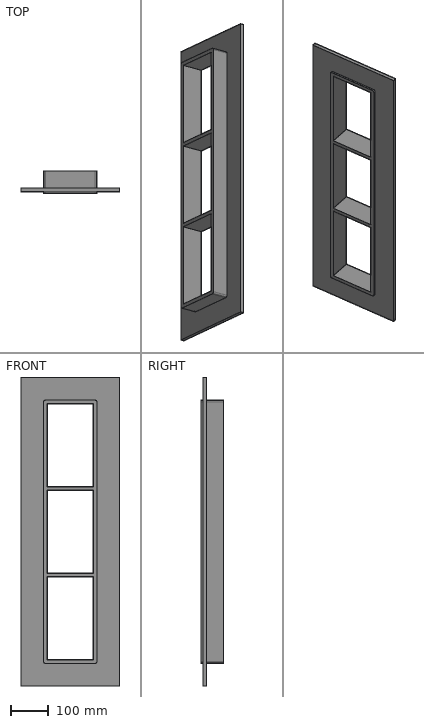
import cadquery as cq

plate_width = 260.5
plate_height = 814.0
plate_thickness = 10.0
plate_border = 60.0

frame_width = plate_width - 2 * plate_border
frame_height = plate_height - 2 * plate_border
frame_depth = 60.0
frame_front_lip = 5.0
frame_corner_radius = 5.0
wall_thickness = 10.0

opening_count = 3
opening_width = frame_width - 2 * wall_thickness
opening_height = (frame_height - (opening_count + 1) * wall_thickness) / opening_count
opening_pitch = opening_height + wall_thickness


def block(width, depth, height, front_y):
    """Box centred on X and Z, reaching from front_y towards +Y."""
    return cq.Workplane("XY").box(width, depth, height).translate((0, front_y + depth / 2, 0))


def make_plate():
    """Flat plate whose front face lies on Y = 0."""
    return block(plate_width, plate_thickness, plate_height, 0)


def make_frame():
    """Frame body with rounded outer corners, standing proud of the plate front."""
    body = block(frame_width, frame_depth, frame_height, -frame_front_lip)
    return body.edges("|Y").fillet(frame_corner_radius)


def make_openings():
    """Cutters for the openings, running through the whole frame depth."""
    cutter = block(opening_width, frame_depth, opening_height, -frame_front_lip)
    cutters = cq.Workplane("XY")
    for index in range(opening_count):
        center_z = (index - (opening_count - 1) / 2) * opening_pitch
        cutters = cutters.add(cutter.translate((0, 0, center_z)))
    return cutters.combine()


result = make_plate().union(make_frame()).cut(make_openings())